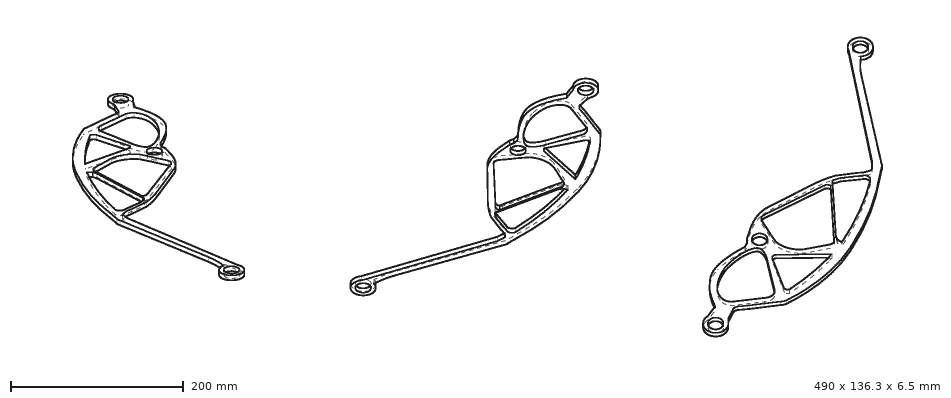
import cadquery as cq

thickness = 6.5
length = 490.0
boss_diameter = 29.5
hole_diameter = 18.0
eye_spacing = length - boss_diameter
middle_hole_x = 140.0
eye_centers = [(0, 0), (eye_spacing, 0)]
hole_centers = eye_centers + [(middle_hole_x, 0)]


def plate(start, *segments):
    """Extrude a closed outline.

    One-point segments are lines, two-point segments are arcs (midpoint, end)
    and longer segments are smooth curves through all their points.
    """
    outline = cq.Workplane("XY").moveTo(*start)
    for segment in segments:
        if len(segment) == 1:
            outline = outline.lineTo(*segment[0])
        elif len(segment) == 2:
            outline = outline.threePointArc(*segment)
        else:
            outline = outline.spline(segment, includeCurrent=True)
    return outline.close().extrude(thickness)


def make_body():
    body = plate(
        (0, 13.5),
        [(24.5, 10.5)],
        [(37.0, 20.0), (59.0, 30.5), (73.0, 32.5), (86.5, 30.0), (106.0, 22.0), (123.0, 12.0)],
        [(131.5, 12.0)],
        [(135.5, 14.0)],
        [(156.5, 16.5), (174.0, 15.5), (190.0, 9.5)],
        [(245.0, -28.5)],
        [(255.5, -36.7), (264.0, -45.5)],
        [(277.5, -67.5)],
        [(281.5, -75.5), (287.5, -81.5)],
        [(299.0, -78.0)],
        [(450.3, 10.5)],
        [(eye_spacing, 0)],
        [(447.0, -6.0)],
        [(433.5, -10.5), (421.0, -16.5)],
        [(301.0, -88.5)],
        [(298.5, -90.0), (295.5, -90.5)],
        [(252.5, -99.5), (229.0, -102.5), (185.5, -103.5), (155.0, -101.0), (119.0, -92.0),
         (92.5, -81.0), (63.0, -63.0)],
        [(60.8, -60.8), (59.0, -57.5)],
        [(40.0, -26.0)],
        [(34.0, -14.0)],
        [(31.5, -12.0), (27.5, -11.0)],
        [(12.5, -11.0)],
        [(3.5, -14.0)],
        [(0, 0)],
    )
    bosses = cq.Workplane("XY").pushPoints(eye_centers).circle(boss_diameter / 2).extrude(thickness)
    return body.union(bosses)


def left_window():
    return plate(
        (37.5, 5.0),
        [(46.0, 15.0), (64.5, 21.5), (86.0, 21.0), (107.5, 13.5), (121.5, 4.5), (127.0, -4.0),
         (121.5, -13.5), (113.0, -20.0)],
        [(86.5, -36.5)],
        [(75.0, -43.5)],
        [(66.0, -45.5), (59.0, -40.0)],
        [(38.0, -5.0)],
        [(37.0, 0), (37.5, 5.0)],
    )


def triangular_window():
    return plate(
        (81.0, -53.0),
        [(116.5, -25.5)],
        [(121.0, -23.5), (124.5, -26.0)],
        [(149.0, -85.5)],
        [(141.5, -84.5)],
        [(113.0, -75.0), (80.5, -60.5)],
        [(79.0, -57.0), (81.0, -53.0)],
    )


def upper_right_window():
    return plate(
        (168.0, 8.5),
        [(173.0, 10.5), (178.5, 8.5)],
        [(245.0, -39.0)],
        [(247.5, -42.5), (247.5, -46.5)],
        [(243.5, -48.0)],
        [(178.5, -77.0)],
        [(170.5, -81.0)],
        [(166.5, -81.5), (162.0, -78.5)],
        [(144.5, -53.5)],
        [(139.5, -35.5), (143.5, -18.5)],
        [(153.5, -7.5)],
        [(158.3, -2.5)],
    )


def lower_right_window():
    return plate(
        (170.5, -90.0),
        [(172.5, -84.0)],
        [(177.0, -80.5)],
        [(253.0, -46.5)],
        [(255.5, -45.5), (257.0, -46.5)],
        [(263.0, -53.0)],
        [(275.5, -75.0)],
        [(277.0, -81.5), (273.0, -85.5)],
        [(229.0, -91.0), (170.5, -90.0)],
    )


result = make_body()
for window in (left_window, triangular_window, upper_right_window, lower_right_window):
    result = result.cut(window())
holes = cq.Workplane("XY").pushPoints(hole_centers).circle(hole_diameter / 2).extrude(thickness)
result = result.cut(holes)